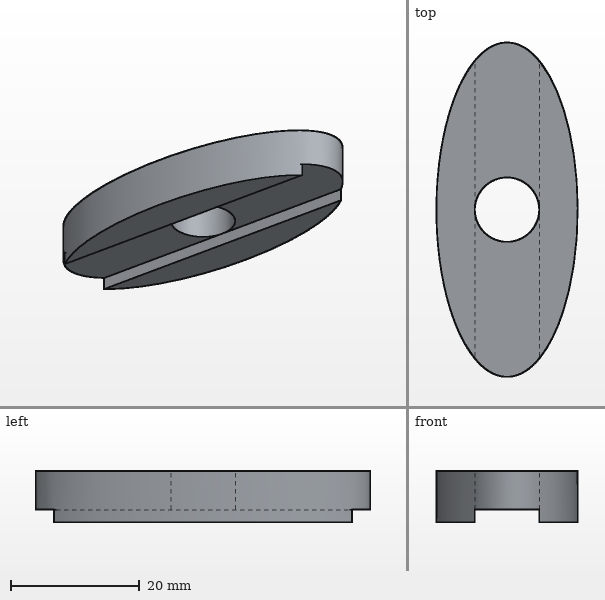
import cadquery as cq

width = 22.0
length = 52.0
height = 8.0

bore_diameter = 10.0
slot_width = bore_diameter
slot_depth = 2.0

plate = cq.Workplane("XY").ellipse(width / 2, length / 2).extrude(height)

bore = cq.Workplane("XY").circle(bore_diameter / 2).extrude(height)

slot = cq.Workplane("XY").rect(slot_width, length).extrude(slot_depth)

result = plate.cut(bore).cut(slot)